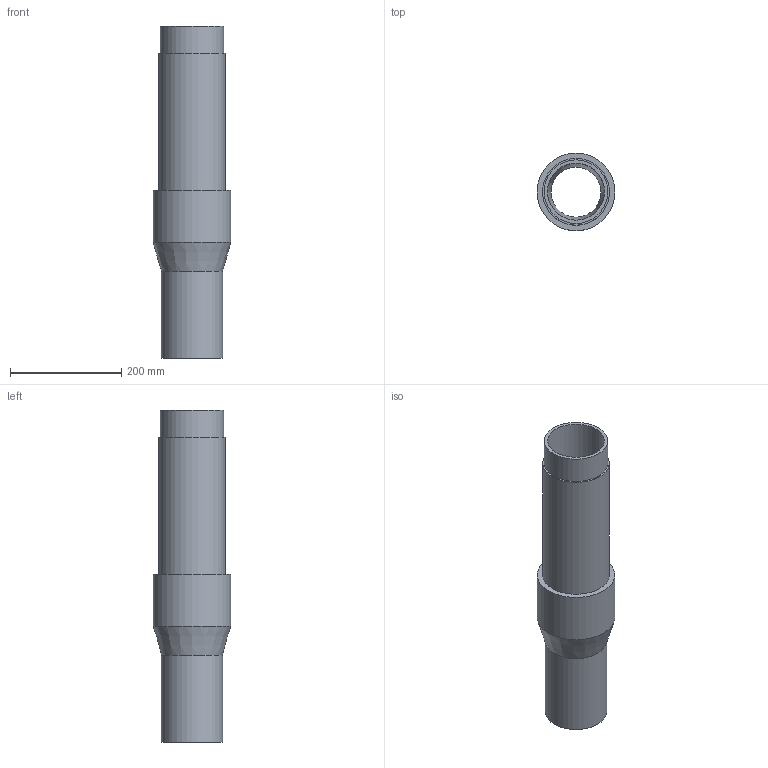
import cadquery as cq

lower_pipe_diameter = 110.0
collar_diameter = 139.7
sleeve_diameter = 120.0
upper_pipe_diameter = 114.3

lower_wall = 10.0
upper_wall = 6.0
lower_bore_diameter = lower_pipe_diameter - 2 * lower_wall
upper_bore_diameter = upper_pipe_diameter - 2 * upper_wall

lower_pipe_length = 156.0
cone_length = 52.0
collar_length = 93.0
sleeve_length = 246.0
upper_pipe_length = 49.0

cone_bottom = lower_pipe_length
cone_top = cone_bottom + cone_length
collar_top = cone_top + collar_length
sleeve_top = collar_top + sleeve_length
total_height = sleeve_top + upper_pipe_length


def revolve_about_z(points):
    """Revolve a closed (radius, height) outline a full turn about Z."""
    return cq.Workplane("XZ").polyline(points).close().revolve(360, (0, 0, 0), (0, 1, 0))


def outer_body():
    """Solid stepped shaft with a flared collar."""
    lower_radius = lower_pipe_diameter / 2
    collar_radius = collar_diameter / 2
    sleeve_radius = sleeve_diameter / 2
    upper_radius = upper_pipe_diameter / 2
    return revolve_about_z([
        (0, 0),
        (lower_radius, 0),
        (lower_radius, cone_bottom),
        (collar_radius, cone_top),
        (collar_radius, collar_top),
        (sleeve_radius, collar_top),
        (sleeve_radius, sleeve_top),
        (upper_radius, sleeve_top),
        (upper_radius, total_height),
        (0, total_height),
    ])


def bore():
    """Through bore that widens alongside the outer cone."""
    lower_radius = lower_bore_diameter / 2
    upper_radius = upper_bore_diameter / 2
    return revolve_about_z([
        (0, 0),
        (lower_radius, 0),
        (lower_radius, cone_bottom),
        (upper_radius, cone_top),
        (upper_radius, total_height),
        (0, total_height),
    ])


result = outer_body().cut(bore())